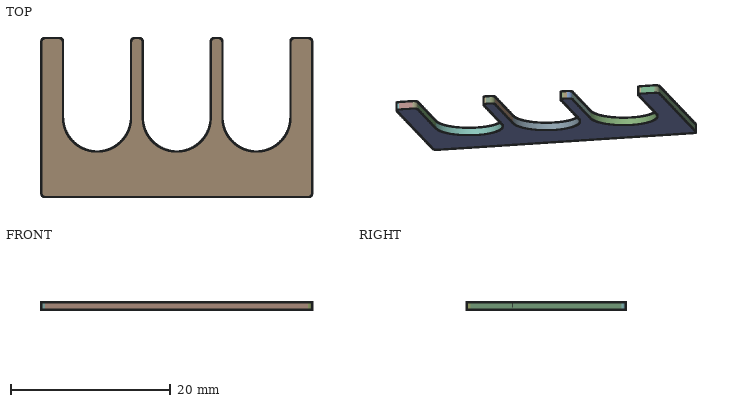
import cadquery as cq

length = 34.0
depth = 20.0
thickness = 1.0
corner_radius = 0.5

slot_count = 3
slot_width = 8.5
slot_pitch = depth / 2
slot_radius = slot_width / 2
slot_arc_center_y = 0.0


def open_slot(center_x):
    """Cutter with a round front end, running out through the back edge."""
    straight_length = depth / 2 - slot_arc_center_y
    return (
        cq.Workplane("XY")
        .moveTo(center_x - slot_radius, slot_arc_center_y)
        .threePointArc(
            (center_x, slot_arc_center_y - slot_radius),
            (center_x + slot_radius, slot_arc_center_y),
        )
        .line(0, straight_length)
        .line(-slot_width, 0)
        .close()
        .extrude(thickness)
    )


plate = cq.Workplane("XY").box(length, depth, thickness, centered=(True, True, False))
for index in range(slot_count):
    plate = plate.cut(open_slot((index - (slot_count - 1) / 2) * slot_pitch))

front_corners = plate.faces("<Y").edges("|Z")
tip_corners = plate.faces(">Y").edges("|Z")
result = plate.newObject(front_corners.vals() + tip_corners.vals()).fillet(corner_radius)